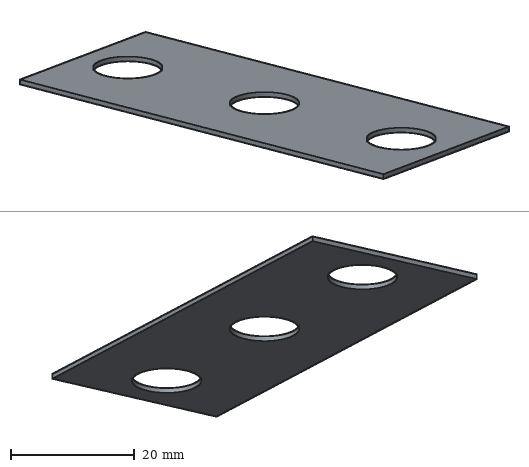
import cadquery as cq

length = 76.2
width = 31.8
thickness = 0.85

hole_diameter = 11.2
hole_pitch = 28.65
hole_count = 3

plate = cq.Workplane("XY").box(length, width, thickness)

result = (
    plate.faces(">Z")
    .workplane()
    .rarray(hole_pitch, width, hole_count, 1)
    .hole(hole_diameter)
)